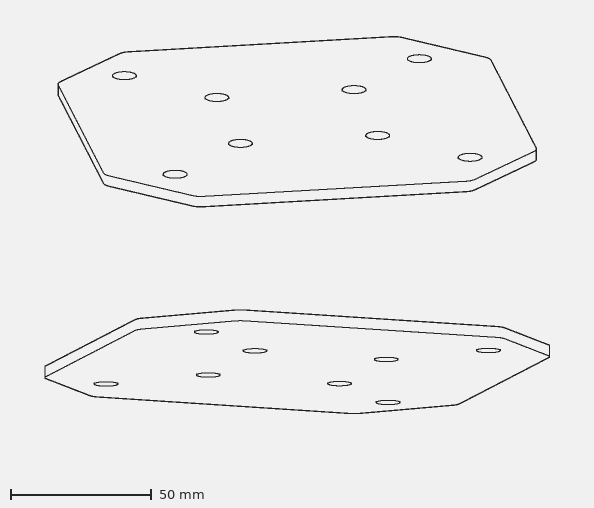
import cadquery as cq

plate_width = 180.0
plate_thickness = 4.0
flat_length = 40.3
corner_radius = 5.0
hole_diameter = 8.5
inner_hole_radius = 35.0
outer_hole_radius = 75.0

corner_cut = (plate_width - flat_length) / 2
plate = (
    cq.Workplane("XY")
    .rect(plate_width, plate_width)
    .extrude(plate_thickness)
    .edges("|Z")
    .chamfer(corner_cut)
    .edges("|Z")
    .fillet(corner_radius)
)


def hole_ring(body, ring_radius):
    """Drill four through holes on the X and Y axes at ring_radius from the centre."""
    return (
        body.faces(">Z")
        .workplane(origin=(0, 0, plate_thickness))
        .polarArray(ring_radius, 0, 360, 4)
        .hole(hole_diameter)
    )


for ring_radius in (inner_hole_radius, outer_hole_radius):
    plate = hole_ring(plate, ring_radius)

result = plate